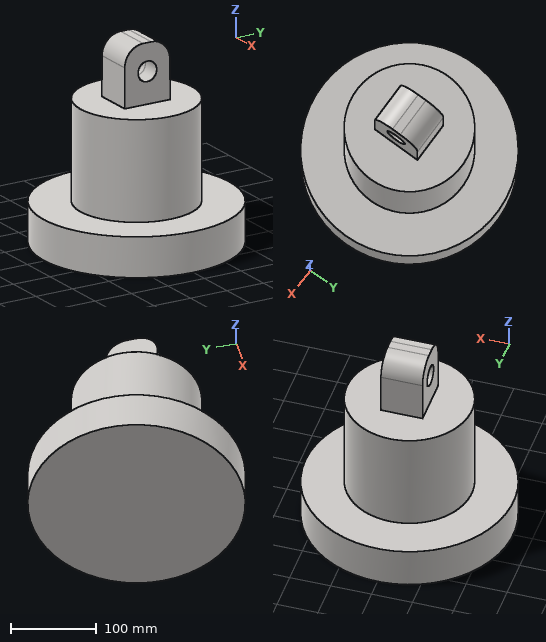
import cadquery as cq

base_diameter = 254.0
base_height = 50.8
column_diameter = 152.5
column_height = 127.0

lug_thickness = 50.8
lug_width = 62.0
lug_height = 76.2
lug_corner_radius = 25.5
lug_offset_y = -0.8
hole_diameter = 25.5
hole_height_above_column = 40.6

column_top = base_height + column_height


def make_body():
    """Base disc with the narrower column on top."""
    base = cq.Workplane("XY").circle(base_diameter / 2).extrude(base_height)
    column = (
        cq.Workplane("XY")
        .workplane(offset=base_height)
        .circle(column_diameter / 2)
        .extrude(column_height)
    )
    return base.union(column)


def make_lug():
    """Upright block with rounded upper edges and a through hole."""
    block = (
        cq.Workplane("XY")
        .box(lug_thickness, lug_width, lug_height, centered=(True, True, False))
        .edges("|X and >Z")
        .fillet(lug_corner_radius)
    )
    pin_hole = (
        cq.Workplane("YZ")
        .center(0, hole_height_above_column)
        .circle(hole_diameter / 2)
        .extrude(lug_thickness / 2, both=True)
    )
    return block.cut(pin_hole).translate((0, lug_offset_y, column_top))


result = make_body().union(make_lug())